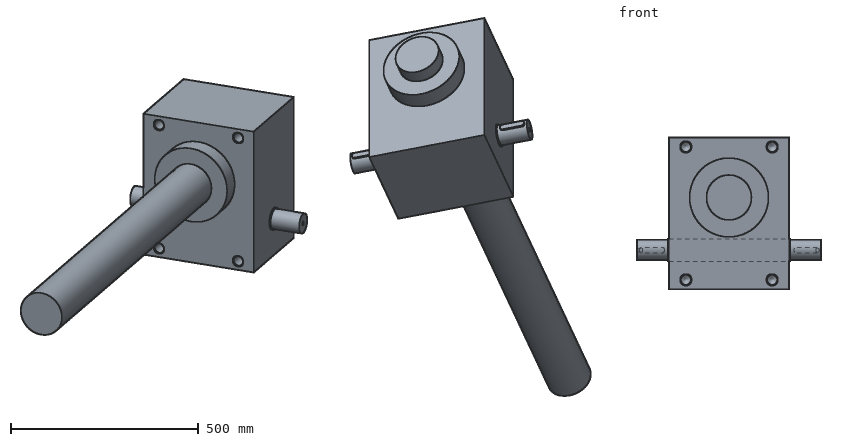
import cadquery as cq
import math


housing_width = 320.0
housing_depth = 270.0
housing_height = 405.0
spindle_above_middle = 42
housing_mid_height = -spindle_above_middle
front_face = -housing_depth / 2

mount_hole_diameter = 27.0
mount_hole_mouth_diameter = 31.0
mount_hole_depth = 50.0
mount_hole_spacing = 230.0
mount_hole_edge_distance = 25.0
drill_point_angle = 118
mount_hole_rise = housing_height - 2 * mount_hole_edge_distance

nut_diameter = 210.0
nut_projection = 51.0
nut_length = housing_depth + 2 * nut_projection

spindle_diameter = 120.0
spindle_length = 1410
spindle_rear_projection = 40.0
spindle_rear_end = nut_length / 2 + spindle_rear_projection

shaft_length = 490.0
shaft_diameter = 55.0
shaft_below_middle = 97.0
shaft_drop = spindle_above_middle + shaft_below_middle
collar_diameter = 60.0
collar_projection = 3.0
collar_length = housing_width + 2 * collar_projection
centre_hole_diameter = 10.2
centre_hole_depth = 14

key_width = 15.0
key_projection = 4.0
key_length = 68.0
key_end_inset = 5.0
key_top = shaft_diameter / 2 + key_projection


def rod_along_y(diameter, length, rear_end):
    """Cylinder on the spindle axis, running forward (-Y) from rear_end."""
    return cq.Workplane("XZ", origin=(0, rear_end, 0)).circle(diameter / 2).extrude(length)


def rod_along_x(diameter, length):
    """Cylinder on the worm shaft axis, centred on X = 0."""
    return cq.Workplane("YZ", origin=(0, 0, -shaft_drop)).circle(diameter / 2).extrude(length / 2, both=True)


def mount_hole_cutter():
    """Drilled hole with a chamfered mouth and a conical bottom, entering along +Y from Y = 0."""
    hole_radius = mount_hole_diameter / 2
    mouth_radius = mount_hole_mouth_diameter / 2
    point_length = hole_radius / math.tan(math.radians(drill_point_angle / 2))
    half_profile = [
        (0, 0),
        (mouth_radius, 0),
        (hole_radius, mouth_radius - hole_radius),
        (hole_radius, mount_hole_depth),
        (0, mount_hole_depth + point_length),
    ]
    return cq.Workplane("XY").polyline(half_profile).close().revolve(360, (0, 0, 0), (0, 1, 0))


def make_housing():
    """Block bored for the nut and the worm shaft, with a mounting hole near each front corner."""
    block = cq.Workplane("XY").box(housing_width, housing_depth, housing_height)
    block = block.translate((0, 0, housing_mid_height))
    block = block.cut(rod_along_y(nut_diameter, housing_depth, housing_depth / 2))
    block = block.cut(rod_along_x(collar_diameter, housing_width))
    for side in (-1, 1):
        for level in (-1, 1):
            hole_x = side * mount_hole_spacing / 2
            hole_z = housing_mid_height + level * mount_hole_rise / 2
            block = block.cut(mount_hole_cutter().translate((hole_x, front_face, hole_z)))
    return block


def make_nut():
    """Sleeve through the housing that stands out equally at the front and the rear."""
    sleeve = rod_along_y(nut_diameter, nut_length, nut_length / 2)
    return sleeve.cut(rod_along_y(spindle_diameter, nut_length, nut_length / 2))


def make_spindle():
    """Plain round bar through the nut."""
    return rod_along_y(spindle_diameter, spindle_length, spindle_rear_end)


def make_key(side):
    """Key at one shaft end (side is -1 or 1), reaching from the shaft axis out to the key top."""
    middle_x = side * (shaft_length / 2 - key_end_inset - key_length / 2)
    key = cq.Workplane("XZ", origin=(middle_x, 0, -shaft_drop))
    return key.slot2D(key_length, key_width).extrude(-key_top)


def make_worm_shaft():
    """Round shaft, thicker inside the housing, with a key and a centre hole at each end."""
    shaft = rod_along_x(shaft_diameter, shaft_length).union(rod_along_x(collar_diameter, collar_length))
    for side in (-1, 1):
        shaft = shaft.union(make_key(side))
    for end in (">X", "<X"):
        shaft = shaft.faces(end).workplane().hole(centre_hole_diameter, centre_hole_depth)
    return shaft


housing = make_housing()
nut = make_nut()
spindle = make_spindle()
worm_shaft = make_worm_shaft()

result = cq.Compound.makeCompound([housing.val(), nut.val(), spindle.val(), worm_shaft.val()])